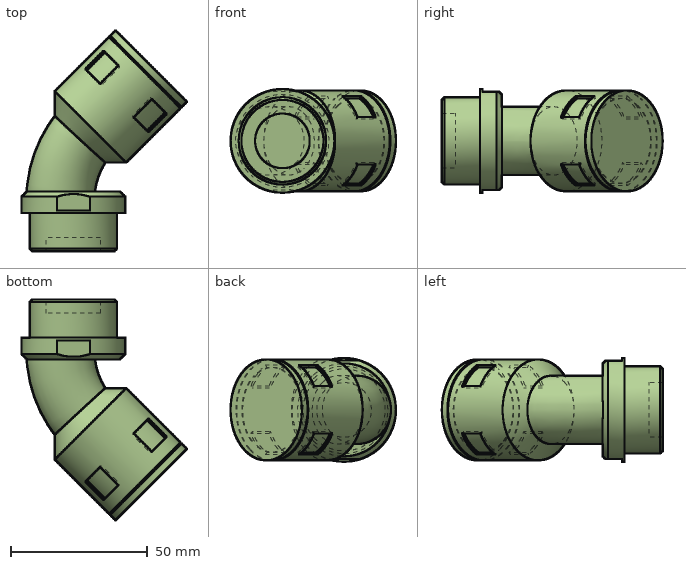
import cadquery as cq
import math

thread_diameter = 32.0
thread_chamfer = 1.0
bore_diameter = 20.0
bore_depth = 5.0

flange_start = 14.0
flange_end = 22.0
flange_diameter = 38.0
flange_chamfer = 2.0
lip_thickness = 1.0
across_flats = 36.0

tube_diameter = 25.0
tube_offset = -4.74
bend_radius = 37.5
bend_angle = 45.0
bend_start = 19.0

socket_diameter = 37.0
socket_length = 31.47
cone_length = 6.5
end_ring_length = 2.9
groove_width = 0.4
groove_diameter = 30.95

window_count = 4
window_first_angle = 45.0
window_length = 9.4
window_width = 10.8
window_depth = 1.0
window_end_distance = 8.4

bend = math.radians(bend_angle)
outlet_x = tube_offset + bend_radius * (1 - math.cos(bend))
outlet_y = bend_start + bend_radius * math.sin(bend)

socket_plane = cq.Plane(
    origin=(outlet_x, outlet_y, 0),
    xDir=(-math.cos(bend), math.sin(bend), 0),
    normal=(math.sin(bend), math.cos(bend), 0),
)


def across_y(y):
    """Workplane at height y whose normal points along +Y."""
    return cq.Workplane(cq.Plane(origin=(0, y, 0), xDir=(-1, 0, 0), normal=(0, 1, 0)))


def along_socket(distance):
    """Workplane square to the socket axis, at a distance from the bend outlet."""
    return cq.Workplane(socket_plane).workplane(offset=distance)


def make_thread():
    length = flange_start + lip_thickness
    return across_y(0).circle(thread_diameter / 2).extrude(length).faces("<Y").chamfer(thread_chamfer)


def make_flange():
    height = flange_end - flange_start
    flange = across_y(flange_start).circle(flange_diameter / 2).extrude(height)
    flange = flange.faces(">Y").chamfer(flange_chamfer)
    between_flats = across_y(flange_start).rect(flange_diameter, across_flats).extrude(height)
    lip = across_y(flange_start).circle(flange_diameter / 2).extrude(lip_thickness)
    return flange.intersect(between_flats).union(lip)


def make_tube():
    axis_start = (bend_radius, 0)
    axis_end = (bend_radius, -1)
    profile_plane = cq.Plane(origin=(tube_offset, bend_start, 0), xDir=(1, 0, 0), normal=(0, -1, 0))
    profile = cq.Workplane(profile_plane).circle(tube_diameter / 2)
    return profile.revolve(bend_angle, axis_start, axis_end)


def make_socket():
    outer = socket_diameter / 2
    groove_end = socket_length - end_ring_length
    groove_start = groove_end - groove_width
    section = [
        (0, -cone_length),
        (outer - cone_length, -cone_length),
        (outer, 0),
        (outer, groove_start),
        (groove_diameter / 2, groove_start),
        (groove_diameter / 2, groove_end),
        (outer, groove_end),
        (outer, socket_length),
        (0, socket_length),
    ]
    section_plane = cq.Plane(
        origin=socket_plane.origin,
        xDir=socket_plane.xDir,
        normal=socket_plane.xDir.cross(socket_plane.zDir),
    )
    socket = cq.Workplane(section_plane).polyline(section).close().revolve(360, (0, 0), (0, 1))
    return socket.cut(make_windows())


def make_windows():
    outer = socket_diameter / 2
    start = socket_length - window_end_distance - window_length
    centres = along_socket(start).polarArray(outer, window_first_angle, 360, window_count)
    blocks = centres.rect(outer, window_width).extrude(window_length)
    core = along_socket(start).circle(outer - window_depth).extrude(window_length)
    return blocks.cut(core)


def make_bore():
    return across_y(0).circle(bore_diameter / 2).extrude(bore_depth)


result = make_thread().union(make_flange()).union(make_tube()).union(make_socket()).cut(make_bore())